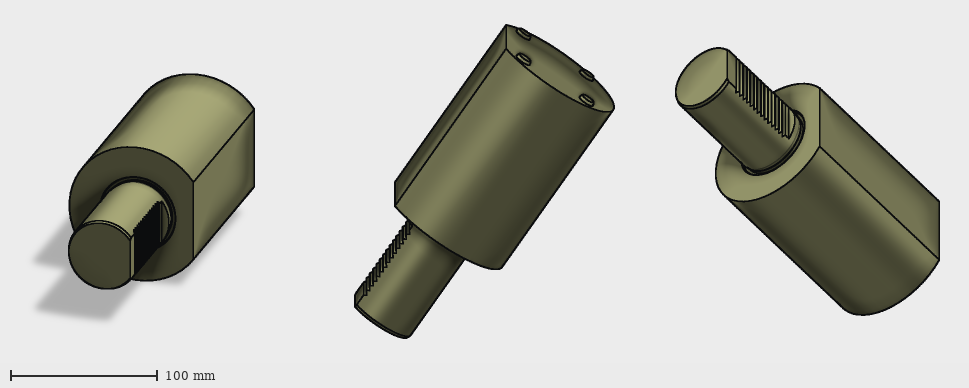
import cadquery as cq

overall_length = 215.4
body_length = 135.0
shank_length = 78.0

body_diameter = 98.0
body_flat_x = 39.8

head_height = overall_length - body_length - shank_length
head_diameter = 11.0
head_top_diameter = 9.3
head_middle_diameter = 10.5
head_spacing_x = 52.0
head_spacing_z = 60.3

shank_diameter = 50.0
neck_diameter = 48.7
neck_taper_start = 1.3
neck_taper_end = 3.9
tip_taper_length = 2.2
tip_taper_depth = 0.9
shank_flat_x = 19.8
flat_start = 8.2

groove_count = 14
groove_depth = 1.5
first_groove = 13.8
last_groove = 66.0
groove_pitch = (last_groove - first_groove) / (groove_count - 1)

recess_diameter = 53.5
recess_depth = 2.2
recess_rim_chamfer = 0.5

undercut_diameter = 48.2
undercut_end = 0.6


def revolve_about_y(points):
    """Revolve a closed (radius, y) outline about the Y axis."""
    return cq.Workplane("XY").polyline(points).close().revolve(360, (0, 0, 0), (0, 1, 0))


def make_body():
    cylinder = cq.Workplane("XZ").circle(body_diameter / 2).extrude(-body_length)
    beyond_flat = cq.Workplane("XY").box(
        body_diameter, body_length, body_diameter, centered=(False, False, True)
    ).translate((body_flat_x, 0, 0))
    recess = revolve_about_y([
        (0, 0),
        (recess_diameter / 2 + recess_rim_chamfer, 0),
        (recess_diameter / 2, recess_rim_chamfer),
        (recess_diameter / 2, recess_depth),
        (0, recess_depth),
    ])
    return cylinder.cut(beyond_flat).cut(recess)


def make_shank():
    shank_radius = shank_diameter / 2
    neck_radius = neck_diameter / 2
    undercut_radius = undercut_diameter / 2
    bar = revolve_about_y([
        (0, recess_depth),
        (undercut_radius, recess_depth),
        (undercut_radius, -undercut_end),
        (neck_radius, -undercut_end),
        (neck_radius, -neck_taper_start),
        (shank_radius, -neck_taper_end),
        (shank_radius, -shank_length + tip_taper_length),
        (shank_radius - tip_taper_depth, -shank_length),
        (0, -shank_length),
    ])
    flat_length = shank_length - flat_start
    beyond_flat = cq.Workplane("XY").box(
        shank_diameter, flat_length, shank_diameter, centered=(False, False, True)
    ).translate((shank_flat_x, -shank_length, 0))
    return bar.cut(beyond_flat).cut(make_tooth_grooves())


def make_tooth_grooves():
    grooves = cq.Workplane("XY")
    for index in range(groove_count):
        y = -first_groove - index * groove_pitch
        groove = (
            cq.Workplane("XY")
            .polyline([
                (shank_flat_x, y + groove_depth),
                (shank_flat_x - groove_depth, y),
                (shank_flat_x, y - groove_depth),
            ])
            .close()
            .extrude(shank_diameter / 2, both=True)
        )
        grooves = grooves.add(groove)
    return grooves.combine()


def make_screw_heads():
    head = (
        cq.Workplane("XY")
        .lineTo(head_diameter / 2, 0)
        .threePointArc((head_middle_diameter / 2, head_height / 2), (head_top_diameter / 2, head_height))
        .lineTo(0, head_height)
        .close()
        .revolve(360, (0, 0, 0), (0, 1, 0))
    )
    heads = cq.Workplane("XY")
    for x in (-head_spacing_x / 2, head_spacing_x / 2):
        for z in (-head_spacing_z / 2, head_spacing_z / 2):
            heads = heads.add(head.translate((x, body_length, z)))
    return heads.combine()


result = make_body().union(make_shank()).union(make_screw_heads())